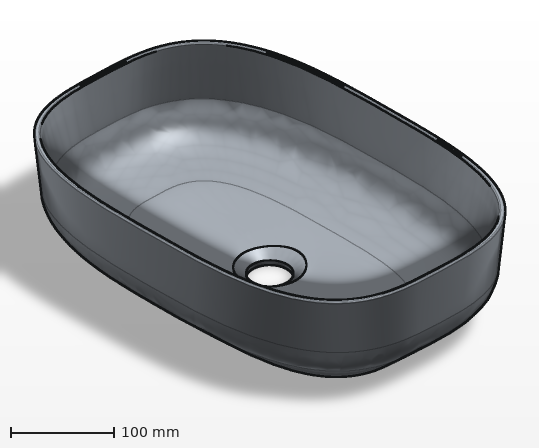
import cadquery as cq
import math

length = 480.0
width = 320.0
height = 125.0
rim_wall = 5.5
rim_round = 1.5

rim_power = 3.2
bend_power = 2.9
base_power = 3.1
outline_points = 32

base_edge = (0.0, 50.0, base_power)
outer_bend_start = (29.0, 17.8, bend_power)
outer_bend_corner = (43.0, 1.5, bend_power)
outer_bend_end = (62.5, 1.5, bend_power)
outer_rim = (height, 0.0, rim_power)

floor_low_height = 13.0
drain_top_height = 14.5
drain_seat_height = 5.8
cut_overlap = 1.5
drain_recess_diameter = 72.0
drain_hole_diameter = 46.0

floor_edge = (21.0, 81.5, rim_power)
inner_bend_corner = (29.8, 18.0, bend_power)
inner_bend_end = (67.0, 11.0, bend_power)
inner_rim = (height, rim_wall, rim_power)

bend_steps = 6


def superellipse(z, half_x, half_y, power):
    """Closed smooth outline |x/half_x|^power + |y/half_y|^power = 1 at height z."""
    points = []
    for i in range(outline_points):
        angle = 2 * math.pi * i / outline_points
        c = round(math.cos(angle), 9)
        s = round(math.sin(angle), 9)
        x = math.copysign(half_x * abs(c) ** (2 / power), c)
        y = math.copysign(half_y * abs(s) ** (2 / power), s)
        points.append(cq.Vector(x, y, z))
    return cq.Wire.assembleEdges([cq.Edge.makeSpline(points, periodic=True)])


def basin_outline(station):
    """Rim outline drawn in by the inset on every side, at the station's height."""
    z, inset, power = station
    return superellipse(z, length / 2 - inset, width / 2 - inset, power)


def straight_wall(lower, upper):
    """Solid with a straight sloping wall between two stations."""
    return cq.Solid.makeLoft([basin_outline(lower), basin_outline(upper)], True)


def bend_station(start, corner, end, t):
    """Point at t on the quadratic curve tangent to start-corner and corner-end."""
    return tuple(
        (1 - t) ** 2 * a + 2 * t * (1 - t) * b + t**2 * c
        for a, b, c in zip(start, corner, end)
    )


def bent_wall(start, corner, end):
    """Solid with a smooth rounded wall between two stations."""
    stations = [bend_station(start, corner, end, i / bend_steps) for i in range(bend_steps + 1)]
    return cq.Solid.makeLoft([basin_outline(station) for station in stations])


def outer_body():
    """Solid bounded by the flared base, the rounded bend and the upright wall."""
    base = straight_wall(base_edge, outer_bend_start)
    bend = bent_wall(outer_bend_start, outer_bend_corner, outer_bend_end)
    upright = straight_wall(outer_bend_end, outer_rim)
    return cq.Workplane(obj=base.fuse(bend, upright))


def floor_cavity():
    """Shallow funnel rising from above the drain hole out to the floor edge."""
    low_radius = drain_hole_diameter / 2
    low_edge = superellipse(floor_low_height, low_radius, low_radius, 2)
    return cq.Solid.makeLoft([low_edge, basin_outline(floor_edge)], True)


def drain():
    """Conical recess narrowing from the floor to a round hole through the base."""
    hole_radius = drain_hole_diameter / 2
    recess_radius = drain_recess_diameter / 2
    cone_slope = (recess_radius - hole_radius) / (drain_top_height - drain_seat_height)
    tool_top = drain_top_height + cut_overlap
    tool_radius = recess_radius + cone_slope * cut_overlap
    half_section = [
        (0, -cut_overlap),
        (hole_radius, -cut_overlap),
        (hole_radius, drain_seat_height),
        (tool_radius, tool_top),
        (0, tool_top),
    ]
    return cq.Workplane("XZ").polyline(half_section).close().revolve(360, (0, 0), (0, 1)).val()


cavities = [
    bent_wall(floor_edge, inner_bend_corner, inner_bend_end),
    straight_wall(inner_bend_end, inner_rim),
    floor_cavity(),
    drain(),
]

result = outer_body()
for cavity in cavities:
    result = result.cut(cq.Workplane(obj=cavity))

result = result.faces(">Z").edges().fillet(rim_round)